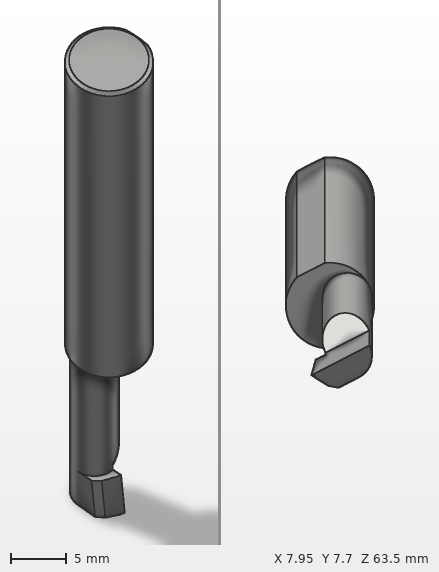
import cadquery as cq

total_length = 63.5
shank_diameter = 7.95
shank_radius = shank_diameter / 2
shank_bottom = 22.9
width_over_flat = 7.7
shank_flat_y = width_over_flat - shank_radius
chamfer_width = 0.4
chamfer_height = 0.25

neck_radius = 2.2
neck_x = neck_radius - shank_radius
relief_start = 5.85
relief_end = 7.8

head_top = 5.15
flank_shift = 0.45
head_corner_x = -0.1
head_corner_y = -2.2
heel_x = 0.6
heel_y = -1.65
edge_x = 1.45
tip_chamfer_width = 0.25
tip_chamfer_height = 0.1
end_rise_x = 0.1
end_rise_y = 0.25
clearance_depth = 0.65


def make_shank():
    length = total_length - shank_bottom
    profile = (
        cq.Workplane("XZ")
        .moveTo(0, shank_bottom)
        .lineTo(shank_radius, shank_bottom)
        .lineTo(shank_radius, total_length - chamfer_height)
        .lineTo(shank_radius - chamfer_width, total_length)
        .lineTo(0, total_length)
        .close()
    )
    shank = profile.revolve(360, (0, 0, 0), (0, 1, 0))
    flat_cut = cq.Workplane("XY", origin=(0, shank_flat_y, shank_bottom)).box(
        shank_diameter, shank_radius, length, centered=(True, False, False)
    )
    return shank.cut(flat_cut)


def make_neck():
    neck = cq.Workplane("XY").center(neck_x, 0).circle(neck_radius).extrude(shank_bottom)
    relief = (
        cq.Workplane("YZ", origin=(neck_x, 0, 0))
        .polyline([(0, 0), (0, relief_start), (neck_radius, relief_end), (neck_radius, 0)])
        .close()
        .extrude(neck_radius, both=True)
    )
    return neck.cut(relief)


def head_outline(height, shift):
    """Head section at a height; its flanks are moved outward by shift."""
    return cq.Wire.makePolygon(
        [
            cq.Vector(neck_x, 0, height),
            cq.Vector(neck_x, -neck_radius, height),
            cq.Vector(head_corner_x + shift, head_corner_y, height),
            cq.Vector(heel_x + shift, heel_y, height),
            cq.Vector(edge_x + shift, 0, height),
        ],
        close=True,
    )


def make_head():
    sections = [head_outline(0, flank_shift), head_outline(head_top, 0)]
    return cq.Workplane(obj=cq.Solid.makeLoft(sections, True))


def make_tip_cut():
    """Clearance below the end face, which rises toward -X and -Y from the tip."""
    tip_right = edge_x + flank_shift
    tip_x = tip_right - tip_chamfer_width
    left = -shank_radius
    front = -neck_radius

    def profile(y, rise):
        return (
            cq.Workplane("XZ", origin=(0, y, 0))
            .polyline(
                [
                    (left, -clearance_depth),
                    (left, end_rise_x + rise),
                    (tip_x, rise),
                    (tip_right, tip_chamfer_height + rise),
                    (tip_right, -clearance_depth),
                ]
            )
            .close()
            .wires()
            .val()
        )

    return cq.Workplane(obj=cq.Solid.makeLoft([profile(0, 0), profile(front, end_rise_y)], True))


result = make_shank().union(make_neck()).union(make_head()).cut(make_tip_cut())